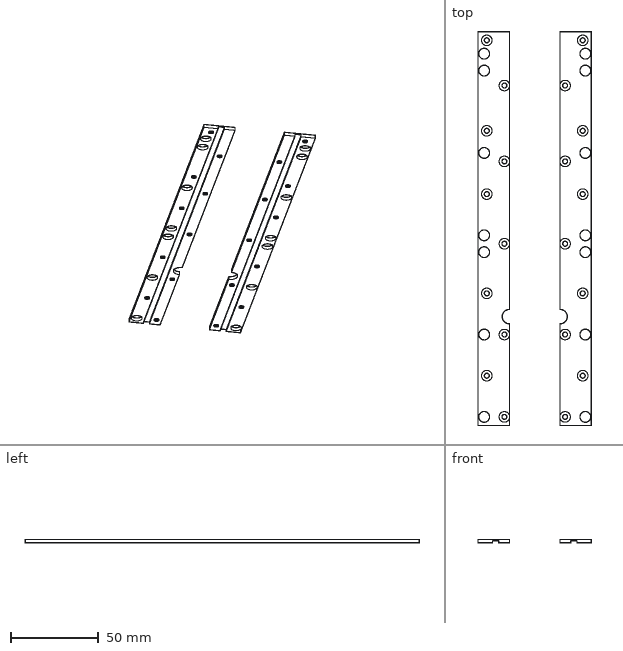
import cadquery as cq

overall_width = 64.5
length = 224.0
thickness = 2.0
strip_width = 18.0
outer_x = overall_width / 2
inner_x = outer_x - strip_width
front_y = -length / 2

clearance_diameter = 6.0
clearance_edge_offset = 3.5
clearance_pitch = 46.8
clearance_group_gap = 9.6
first_clearance_distance = 5.0
clearance_group_sizes = (3, 3, 1)
clearance_x = outer_x - clearance_edge_offset

screw_diameter = 2.7
screw_head_diameter = 6.0
countersink_depth = (screw_head_diameter - screw_diameter) / 2
outer_screw_edge_offset = 5.0
inner_screw_edge_offset = 3.0
outer_screw_x = outer_x - outer_screw_edge_offset
inner_screw_x = inner_x + inner_screw_edge_offset
outer_screw_distances = (28.4, 75.2, 131.6, 167.6, 219.0)
inner_screw_distances = (5.0, 51.8, 103.4, 150.2, 193.3)

notch_radius = 4.0
notch_inset = 0.2
notch_distance = 62.0

groove_width = 3.5
groove_depth = 1.2
groove_edge_offset = 10.0
groove_x = outer_x - groove_edge_offset


def clearance_hole_points():
    points = []
    y = front_y + first_clearance_distance
    for group_size in clearance_group_sizes:
        for step in range(group_size):
            points.append((clearance_x, y + step * clearance_pitch))
        y += (group_size - 1) * clearance_pitch + clearance_group_gap
    return points


def screw_points():
    outer_row = [(outer_screw_x, front_y + distance) for distance in outer_screw_distances]
    inner_row = [(inner_screw_x, front_y + distance) for distance in inner_screw_distances]
    return outer_row + inner_row


def cylinders(points, diameter):
    """Vertical cutters through the full thickness."""
    return cq.Workplane("XY").pushPoints(points).circle(diameter / 2).extrude(thickness)


def underside_groove():
    return cq.Workplane("XY").center(groove_x, 0).rect(groove_width, length).extrude(groove_depth)


def edge_notch():
    return cylinders([(inner_x + notch_inset, front_y + notch_distance)], 2 * notch_radius)


def cut_countersinks(strip):
    bottom_z = thickness - countersink_depth
    for x, y in screw_points():
        cone = cq.Solid.makeCone(
            screw_diameter / 2, screw_head_diameter / 2, countersink_depth, cq.Vector(x, y, bottom_z)
        )
        strip = strip.cut(cq.Workplane(cone))
    return strip


def strip_body():
    """The +X strip; the other strip is its mirror image."""
    strip = cq.Workplane("XY").center(inner_x + strip_width / 2, 0).rect(strip_width, length).extrude(thickness)
    strip = strip.cut(underside_groove())
    strip = strip.cut(edge_notch())
    strip = strip.cut(cylinders(clearance_hole_points(), clearance_diameter))
    strip = strip.cut(cylinders(screw_points(), screw_diameter))
    return cut_countersinks(strip)


right_strip = strip_body()
left_strip = right_strip.mirror("YZ")

result = cq.Compound.makeCompound([right_strip.val(), left_strip.val()])